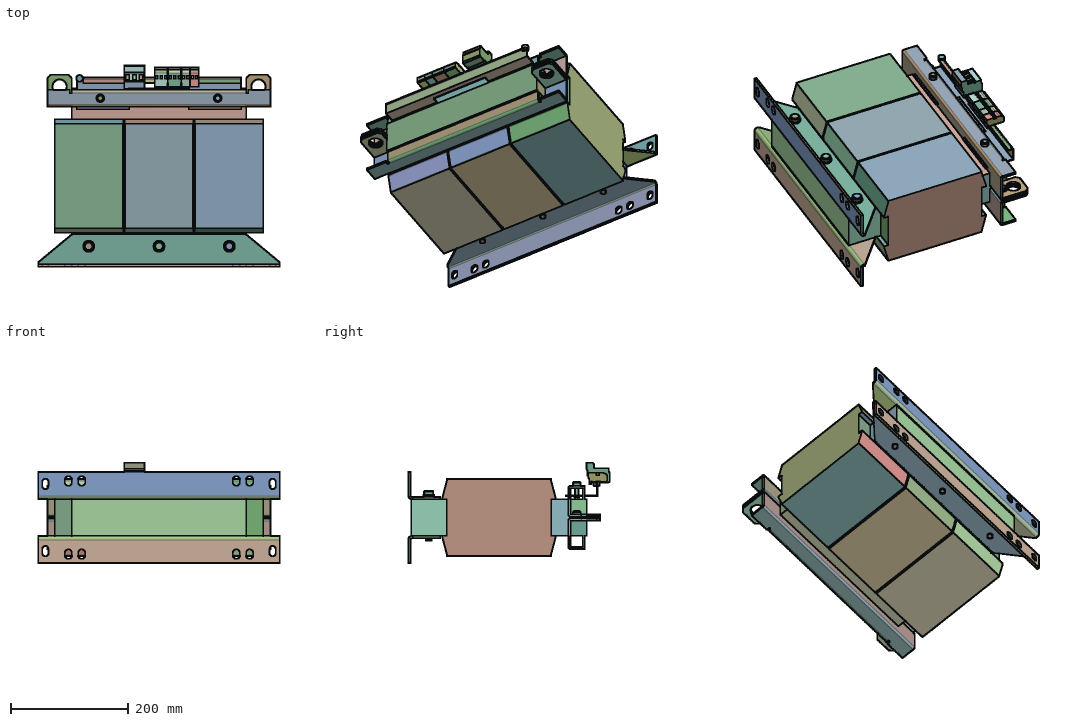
import cadquery as cq


core_length = 298.0
core_half_height = 31.5
core_front = 5.0
core_back = 305.0
yoke_width = 61.0
coil_width = 116.5
coil_pitch = 119.5
coil_half_height = 66.0
coil_flare = 8.0
coil_rim = 3.0
flare_rim = 2.0
coil_front = core_front + yoke_width
coil_back = core_back - yoke_width

sheet = 4.0

foot_length = 412.0
foot_half_height = 78.0
foot_depth = 55.2
foot_straight_end = 8.0
foot_bend = 6.0
end_slot_x = 193.5
end_slot_z = 57.3
end_slot_size = (17.5, 10.5)
inner_slot_x = (132.0, 154.5)
inner_slot_z = 62.2
inner_slot_size = (16.0, 12.0)

channel_length = 380.5
channel_front = 273.0
channel_back = 301.5
channel_top = 54.0
channel_bend = 3.7
lip_bend = 4.5
relief_depth = 5.5
relief_width = 3.5
ear_width = 41.5
ear_back = 327.5
ear_gap = 3.0
ear_chamfer = 5.8
ear_hole_y = 307.5
ear_hole_diameter = 24.0
ear_x = (channel_length - ear_width) / 2

yoke_bolt_pitch = 120.0
yoke_bolt_y = 35.0
bolt_head_diameter = 16.0
bolt_head_chamfer = 1.5
bolt_top_height = 10.5
bolt_collar_height = 2.0
bolt_washer_diameter = 19.0
bolt_washer_height = 1.2
bolt_neck_diameter = 7.0
bolt_neck_length = 2.5
bolt_tip_diameter = 10.0
bolt_tip_length = 2.0
channel_screw_x = 100.0
channel_screw_y = 287.5
screw_head_diameter = 13.0
channel_screw_head_height = 7.5
ear_screw_head_height = 5.8
screw_head_chamfer = 2.0
screw_shank_diameter = 6.5
screw_nut_diameter = 8.5

rail_half_length = 140.0
rail_sheet = 1.5
rail_back = 323.0
rail_lip_front = 313.0
rail_lip_start = -129.0
rail_top = 61.5
rail_bend = 3.5
rail_foot_front = 269.0
rail_foot_top = 38.5
rail_foot_length = 89.0
clamp_x = -135.5
clamp_y = 321.5
clamp_diameter = 11.5
clamp_bottom = 53.0
clamp_top = 62.0
clamp_chamfer = 2.0

large_block_start = -59.5
large_block_width = 34.5
large_poles = 3
large_entry_size = (5.8, 8.5)
large_entry_y = 323.5
large_step_top = 84.5
large_groove_y = 331.2
large_groove_size = (30.5, 1.2)
small_block_start = -7.5
small_row_length = 76.0
small_block_poles = (3, 3, 2, 2)
small_pole_pitch = small_row_length / sum(small_block_poles)
small_block_gap = 0.5
small_entry_size = (3.7, 5.0)
small_entry_y = 323.5
small_top = 76.5
pocket_depth = 4.0


def block(x_range, y_range, z_range):
    """Box given by its limits along X, Y and Z."""
    (x0, x1), (y0, y1), (z0, z1) = x_range, y_range, z_range
    return cq.Workplane("XY").box(x1 - x0, y1 - y0, z1 - z0, centered=False).translate((x0, y0, z0))


def prism(points, x0, x1):
    """Outline of (Y, Z) points swept along X from x0 to x1."""
    return cq.Workplane("YZ", origin=(x0, 0, 0)).polyline(points).close().extrude(x1 - x0)


def cylinder(x, y, z0, z1, diameter):
    """Upright cylinder between two heights."""
    return cq.Workplane("XY", origin=(x, y, z0)).circle(diameter / 2).extrude(z1 - z0)


def both_sides(upper):
    """Add the mirror image below the core mid-plane."""
    return upper.union(upper.mirror("XY"))


def make_core():
    """Front and back yokes; the core legs lie inside the coils."""
    half = core_length / 2
    heights = (-core_half_height, core_half_height)
    front_yoke = block((-half, half), (core_front, coil_front), heights)
    back_yoke = block((-half, half), (coil_back, core_back), heights)
    return front_yoke.union(back_yoke)


def make_coil(x):
    """One coil, flared over both yokes above and below the core."""
    x0 = x - coil_width / 2
    x1 = x + coil_width / 2
    outline = [
        (coil_front, 0),
        (coil_front, core_half_height),
        (coil_front - coil_flare, core_half_height),
        (coil_front - coil_flare, core_half_height + flare_rim),
        (coil_front, coil_half_height - coil_rim),
        (coil_front, coil_half_height),
        (coil_back, coil_half_height),
        (coil_back, coil_half_height - coil_rim),
        (coil_back + coil_flare, core_half_height + flare_rim),
        (coil_back + coil_flare, core_half_height),
        (coil_back, core_half_height),
        (coil_back, 0),
    ]
    return both_sides(prism(outline, x0, x1))


def make_upper_foot():
    """Bent angle: slotted mounting plate and a tapered flange on the core."""
    half = foot_length / 2
    flange_top = core_half_height + sheet
    outline = [
        (0, core_half_height),
        (foot_depth, core_half_height),
        (foot_depth, flange_top),
        (sheet, flange_top),
        (sheet, foot_half_height),
        (0, foot_half_height),
    ]
    foot = prism(outline, -half, half)
    foot = foot.edges(cq.NearestToPointSelector((0, 0, core_half_height))).fillet(foot_bend)
    foot = foot.edges(cq.NearestToPointSelector((0, sheet, flange_top))).fillet(foot_bend - sheet)
    taper = (
        cq.Workplane("XY")
        .polyline([
            (-half, 0),
            (half, 0),
            (half, foot_straight_end),
            (core_length / 2, foot_depth),
            (-core_length / 2, foot_depth),
            (-half, foot_straight_end),
        ])
        .close()
        .extrude(foot_half_height)
    )
    foot = foot.intersect(taper)
    end_points = [(side * end_slot_x, end_slot_z) for side in (-1, 1)]
    inner_points = [(side * x, inner_slot_z) for side in (-1, 1) for x in inner_slot_x]
    for points, size in ((end_points, end_slot_size), (inner_points, inner_slot_size)):
        slots = cq.Workplane("XZ").pushPoints(points).slot2D(*size, 90).extrude(-sheet)
        foot = foot.cut(slots)
    return foot


def make_yoke_bolt(x):
    """Bolt through the feet and front yoke, built from (bottom, top, diameter) steps."""
    surface = core_half_height + sheet
    washer_bottom = surface + bolt_collar_height
    washer_top = washer_bottom + bolt_washer_height
    head_top = surface + bolt_top_height
    neck_end = -surface - bolt_neck_length
    tip = neck_end - bolt_tip_length
    steps = [
        (surface, washer_bottom, bolt_head_diameter),
        (washer_bottom, washer_top, bolt_washer_diameter),
        (neck_end, -surface, bolt_neck_diameter),
        (tip, neck_end, bolt_tip_diameter),
    ]
    bolt = cylinder(x, yoke_bolt_y, washer_top, head_top, bolt_head_diameter)
    bolt = bolt.faces(">Z").chamfer(bolt_head_chamfer)
    for bottom, top, diameter in steps:
        bolt = bolt.union(cylinder(x, yoke_bolt_y, bottom, top, diameter))
    return bolt


def make_ear(side):
    """Lifting ear with cropped corners and an eye."""
    bottom = ear_gap / 2
    x0 = side * ear_x - ear_width / 2
    ear = block((x0, x0 + ear_width), (channel_front, ear_back), (bottom, bottom + sheet))
    ear = ear.edges("|Z and >Y").chamfer(ear_chamfer)
    ear = ear.edges("|X and <Y and <Z").fillet(channel_bend)
    return ear.cut(cylinder(side * ear_x, ear_hole_y, bottom, bottom + sheet, ear_hole_diameter))


def make_upper_channel():
    """Channel through the back yoke: web, top flange, inner lip and two ears."""
    half = channel_length / 2
    lip_half = core_length / 2
    lip_start = channel_back - relief_depth
    web = block((-half, half), (channel_front, channel_back), (ear_gap / 2, channel_top))
    web = web.edges("|X and <Y").fillet(channel_bend)
    hollow = (ear_gap / 2, channel_top - sheet)
    web = web.cut(block((-half, half), (channel_front + sheet, channel_back), hollow))
    relief_half = lip_half + relief_width
    web = web.cut(block((-relief_half, relief_half), (lip_start, channel_back), (0, channel_top)))
    lip = block((-lip_half, lip_half), (lip_start, channel_back), (core_half_height, channel_top))
    lip = lip.edges("|X and >Y and >Z").fillet(lip_bend)
    lip = lip.cut(block((-lip_half, lip_half), (lip_start, channel_back - sheet), (0, channel_top - sheet)))
    return web.union(lip).union(make_ear(-1)).union(make_ear(1))


def make_screw(x, y, seat, end, head_height):
    """Pan-head screw: head on the seat height, shank down to the end height."""
    head = cylinder(x, y, seat, seat + head_height, screw_head_diameter)
    head = head.faces(">Z").chamfer(screw_head_chamfer)
    return head.union(cylinder(x, y, end, seat, screw_shank_diameter))


def make_channel_screws():
    """Screws through the top flange to the core, and screws joining the ears."""
    screws = cq.Workplane("XY")
    nut_bottom = rail_foot_top - 2 * rail_sheet
    for side in (-1, 1):
        x = side * channel_screw_x
        screw = make_screw(x, channel_screw_y, channel_top, core_half_height, channel_screw_head_height)
        screws = screws.union(screw)
        screws = screws.union(cylinder(x, channel_screw_y, nut_bottom, rail_foot_top, screw_nut_diameter))
        ear_top = ear_gap / 2 + sheet
        ear_screw = make_screw(side * ear_x, channel_screw_y, ear_top, -ear_top, ear_screw_head_height)
        screws = screws.union(ear_screw)
    return screws


def make_rail():
    """Terminal rail: channel section open to the front, two feet and an earth clamp."""
    foot_bottom = rail_foot_top - rail_sheet
    web_front = rail_back - rail_sheet
    ends = (-rail_half_length, rail_half_length)
    rail = block(ends, (rail_lip_front, rail_back), (foot_bottom, rail_top))
    rail = rail.edges("|X and >Y and >Z").fillet(rail_bend)
    hollow = block(ends, (rail_lip_front, web_front), (rail_foot_top, rail_top - rail_sheet))
    rail = rail.cut(hollow.edges("|X and >Y and >Z").fillet(rail_bend - rail_sheet))
    relief_span = (-rail_half_length, rail_lip_start)
    rail = rail.cut(block(relief_span, (rail_lip_front, web_front), (rail_foot_top, rail_top)))
    for start in (-rail_half_length, rail_half_length - rail_foot_length):
        span = (start, start + rail_foot_length)
        rail = rail.union(block(span, (rail_foot_front, rail_back), (foot_bottom, rail_foot_top)))
    clamp = cylinder(clamp_x, clamp_y, clamp_bottom, clamp_top, clamp_diameter)
    return rail.union(clamp.faces("<Z").chamfer(clamp_chamfer))


def cut_top_pockets(body, x_centers, y, top, size):
    """Cut equal rectangular pockets into the top of a terminal block."""
    points = [(x, y) for x in x_centers]
    top_plane = cq.Workplane("XY", origin=(0, 0, top))
    return body.cut(top_plane.pushPoints(points).rect(*size).extrude(-pocket_depth))


def make_large_block():
    """Tall terminal block clipped over the rail lip."""
    outline = [
        (342.5, large_step_top),
        (342.5, 78.5),
        (344.0, 76.0),
        (344.0, 61.5),
        (341.5, 59.5),
        (328.0, 59.5),
        (328.0, rail_top),
        (312.0, rail_top),
        (312.0, 58.0),
        (308.5, 58.0),
        (308.5, 69.5),
        (305.5, 71.5),
        (305.5, 79.5),
        (304.0, 83.0),
        (304.0, 93.5),
        (315.0, 93.5),
        (317.2, 90.5),
        (317.2, large_step_top),
    ]
    body = prism(outline, large_block_start, large_block_start + large_block_width)
    pitch = large_block_width / large_poles
    centers = [large_block_start + (pole + 0.5) * pitch for pole in range(large_poles)]
    body = cut_top_pockets(body, centers, large_entry_y, large_step_top, large_entry_size)
    middle = large_block_start + large_block_width / 2
    return cut_top_pockets(body, [middle], large_groove_y, large_step_top, large_groove_size)


def make_small_blocks():
    """Row of low terminal blocks with narrow gaps between them."""
    outline = [
        (331.0, small_top),
        (336.0, 75.0),
        (340.0, 71.5),
        (340.0, 63.0),
        (338.0, rail_top),
        (312.0, rail_top),
        (312.0, 57.0),
        (308.5, 57.0),
        (308.5, 66.0),
        (307.0, 67.5),
        (307.0, small_top),
    ]
    blocks = cq.Workplane("XY")
    start = small_block_start
    for poles in small_block_poles:
        end = start + poles * small_pole_pitch
        body = prism(outline, start, end - small_block_gap)
        centers = [start + (pole + 0.5) * small_pole_pitch for pole in range(poles)]
        body = cut_top_pockets(body, centers, small_entry_y, small_top, small_entry_size)
        blocks = blocks.union(body)
        start = end
    return blocks


result = make_core()
for position in (-1, 0, 1):
    result = result.union(make_coil(position * coil_pitch))
result = result.union(both_sides(make_upper_foot()))
result = result.union(both_sides(make_upper_channel()))
for position in (-1, 0, 1):
    result = result.union(make_yoke_bolt(position * yoke_bolt_pitch))
result = result.union(make_channel_screws())
result = result.union(make_rail())
result = result.union(make_large_block())
result = result.union(make_small_blocks())